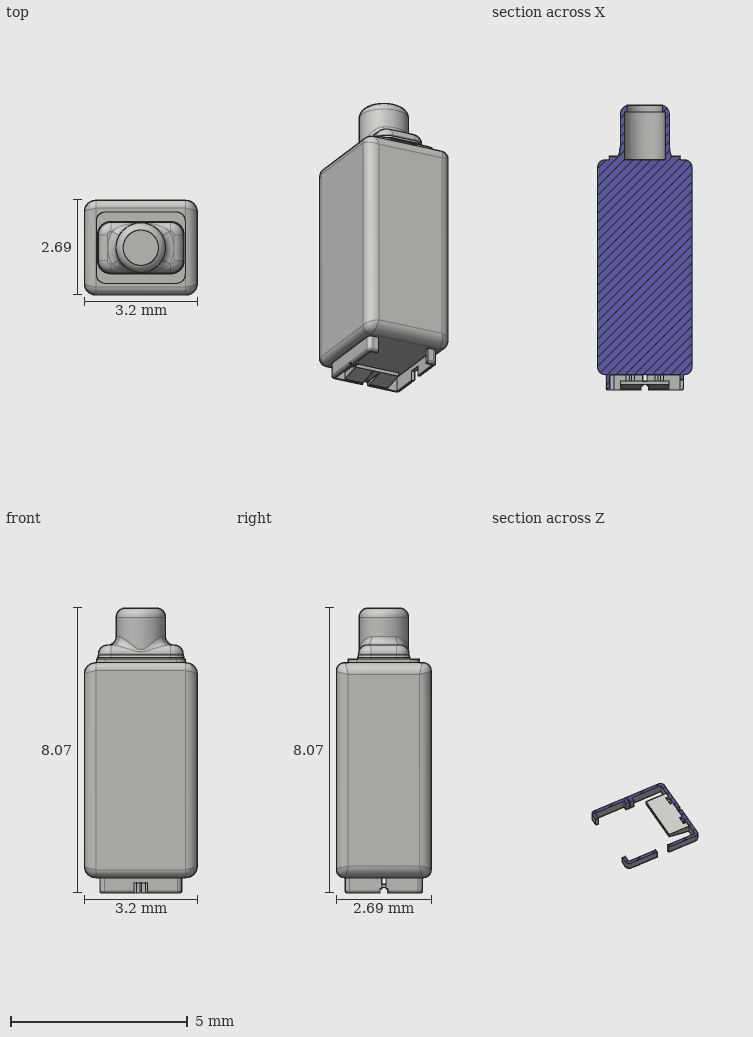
import cadquery as cq

TOTAL_HEIGHT = 8.07
SKIRT_HEIGHT = 0.435
HOUSING_TOP = 6.53
FLANGE_TOP = 6.625

HOUSING_X = 3.2
HOUSING_Y = 2.69
SIDE_ROUNDING = 0.33
LONG_ROUNDING = 0.225

FLANGE_X = 2.52
FLANGE_Y = 2.02
FLANGE_CORNER = 0.25

DOME_X = 2.405
DOME_Y = 1.44
DOME_TOP = 7.03
DOME_ROUNDING = 0.26
DOME_CORNER = 0.355
PLINTH_TOP = 6.75
PLINTH_MARGIN = 0.025
PLINTH_CHAMFER_HEIGHT = 0.07
COVE_RADIUS = 0.23

SPOUT_RADIUS = 0.7
MOUTH_RADIUS = 0.5
LIP_HEIGHT = 0.26
MOUTH_DEPTH = 0.19
BORE_RADIUS = 0.57

SKIRT_X = 2.325
SKIRT_Y = 2.195
SKIRT_CORNER = 0.13
SKIRT_ROUNDING = 0.065
SKIRT_WALL = 0.105
FRONT_GAP_WIDTH = 0.38
FRONT_GAP_HEIGHT = 0.29
BACK_SLIT_WIDTH = 0.03
BACK_SLIT_HEIGHT = 0.04
LEFT_OPENING = 1.58
SLOT_WIDTH = 0.11
SLOT_FOOT_WIDTH = 0.21
SLOT_FOOT_HEIGHT = 0.12
SHELF_X = 0.645
SHELF_Y = 1.37
SHELF_BOTTOM = 0.15
SHELF_TOP = 0.26
SHELF_FOOT = 0.03
RIB_SIZE = 0.09
RIB_OFFSETS_Y = (-0.485, -0.33, 0.33, 0.485)
POST_SIZE = 0.11


def block(size_x, size_y, bottom, top, x=0, y=0):
    """Box centred on (x, y) that reaches from bottom to top."""
    return cq.Workplane("XY", origin=(x, y, bottom)).box(
        size_x, size_y, top - bottom, centered=(True, True, False)
    )


def make_housing():
    housing = block(HOUSING_X, HOUSING_Y, SKIRT_HEIGHT, HOUSING_TOP)
    return housing.edges("|X").fillet(LONG_ROUNDING).faces("<X or >X").edges().fillet(SIDE_ROUNDING)


def make_flange():
    return block(FLANGE_X, FLANGE_Y, HOUSING_TOP, FLANGE_TOP).edges("|Z").fillet(FLANGE_CORNER)


def make_plinth():
    plinth = block(DOME_X + 2 * PLINTH_MARGIN, DOME_Y + 2 * PLINTH_MARGIN, FLANGE_TOP, PLINTH_TOP)
    plinth = plinth.edges("|Z").fillet(DOME_CORNER + PLINTH_MARGIN)
    return plinth.faces(">Z").edges().chamfer(PLINTH_CHAMFER_HEIGHT, PLINTH_MARGIN)


def make_dome():
    dome = block(DOME_X, DOME_Y, FLANGE_TOP, DOME_TOP).edges("|Z").fillet(DOME_CORNER)
    return dome.faces(">Z").edges().fillet(DOME_ROUNDING)


def make_spout():
    return (
        cq.Workplane("XZ")
        .moveTo(0, FLANGE_TOP)
        .lineTo(SPOUT_RADIUS, FLANGE_TOP)
        .lineTo(SPOUT_RADIUS, TOTAL_HEIGHT - LIP_HEIGHT)
        .tangentArcPoint((MOUTH_RADIUS, TOTAL_HEIGHT), relative=False)
        .lineTo(0, TOTAL_HEIGHT)
        .close()
        .revolve(360, (0, 0, 0), (0, 1, 0))
    )


def make_bore():
    bore_top = TOTAL_HEIGHT - MOUTH_DEPTH
    bore = cq.Workplane("XY", origin=(0, 0, HOUSING_TOP)).circle(BORE_RADIUS).extrude(bore_top - HOUSING_TOP)
    mouth = cq.Workplane("XY", origin=(0, 0, bore_top)).circle(MOUTH_RADIUS).extrude(MOUTH_DEPTH)
    return bore.union(mouth)


def make_shelf(wall_x):
    """Ledge on the inner face of the +X wall, with a sloping underside and upright ribs."""
    edge_x = wall_x - SHELF_X
    shelf = (
        cq.Workplane("XZ")
        .polyline([(edge_x, SHELF_BOTTOM), (edge_x, SHELF_TOP), (wall_x, SHELF_TOP), (wall_x, SHELF_FOOT)])
        .close()
        .extrude(SHELF_Y / 2, both=True)
    )
    shelf = shelf.cut(block(2 * wall_x, SLOT_FOOT_WIDTH, 0, SHELF_BOTTOM))
    rib_x = wall_x - RIB_SIZE / 2
    for y in RIB_OFFSETS_Y:
        shelf = shelf.union(block(RIB_SIZE, RIB_SIZE, SHELF_TOP, SKIRT_HEIGHT, x=rib_x, y=y))
    return shelf


def make_skirt():
    inner_x = SKIRT_X - 2 * SKIRT_WALL
    inner_y = SKIRT_Y - 2 * SKIRT_WALL
    wall_x = (SKIRT_X - SKIRT_WALL) / 2
    wall_y = (SKIRT_Y - SKIRT_WALL) / 2

    skirt = block(SKIRT_X, SKIRT_Y, 0, SKIRT_HEIGHT).edges("|Z").fillet(SKIRT_CORNER)
    skirt = skirt.faces("<Z").edges().fillet(SKIRT_ROUNDING)
    skirt = skirt.cut(block(inner_x, inner_y, 0, SKIRT_HEIGHT))

    skirt = skirt.cut(block(SKIRT_WALL, LEFT_OPENING, 0, SKIRT_HEIGHT, x=-wall_x))
    skirt = skirt.cut(block(FRONT_GAP_WIDTH, SKIRT_WALL, 0, FRONT_GAP_HEIGHT, y=-wall_y))
    skirt = skirt.cut(block(BACK_SLIT_WIDTH, SKIRT_WALL, 0, BACK_SLIT_HEIGHT, y=wall_y))
    skirt = skirt.cut(block(SKIRT_WALL, SLOT_WIDTH, 0, SKIRT_HEIGHT, x=wall_x))
    skirt = skirt.cut(block(SKIRT_WALL, SLOT_FOOT_WIDTH, 0, SLOT_FOOT_HEIGHT, x=wall_x))

    post_x = (BACK_SLIT_WIDTH + POST_SIZE) / 2
    post_y = (inner_y - POST_SIZE) / 2
    for x in (-post_x, post_x):
        skirt = skirt.union(block(POST_SIZE, POST_SIZE, 0, SKIRT_HEIGHT, x=x, y=post_y))
    return skirt.union(make_shelf(inner_x / 2))


def make_spout_foot():
    """Dome and spout, joined by a cove along the closed curve where they meet."""
    foot = make_dome().union(make_spout())
    reach = SPOUT_RADIUS + PLINTH_MARGIN
    joint = cq.selectors.BoxSelector((-reach, -reach, PLINTH_TOP), (reach, reach, DOME_TOP + PLINTH_MARGIN))
    return foot.edges(joint).edges("%BSPLINE or %CIRCLE").fillet(COVE_RADIUS)


result = make_housing().union(make_flange()).union(make_plinth()).union(make_spout_foot())
result = result.cut(make_bore()).union(make_skirt())